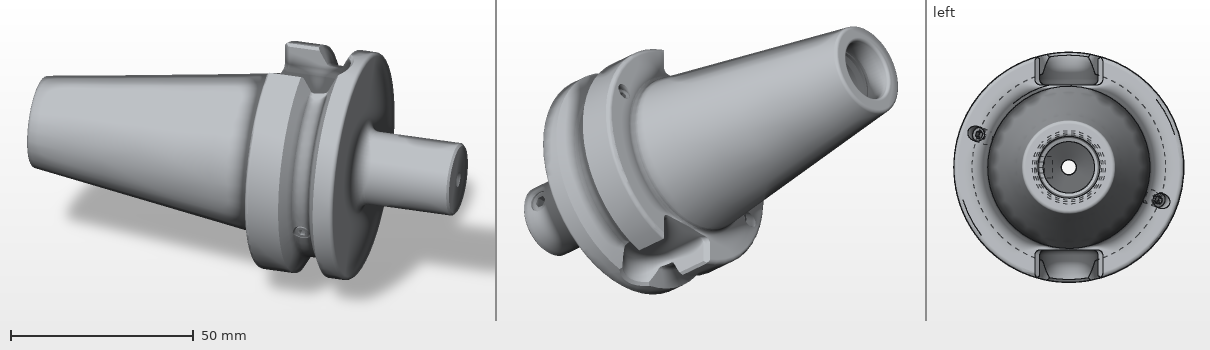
import cadquery as cq
import math

gauge_x = 65.4
gauge_radius = 22.2
taper_ratio = 7 / 24
shank_radius = gauge_radius - gauge_x * taper_ratio / 2
shank_end_round = 1.0

flange_x = 67.3
flange_end_x = 92.4
flange_radius = 31.5
shank_root_round = 1.0
flange_front_round = 1.2
flange_back_round = 1.0

groove_x = 82.0
groove_radius = 26.5
groove_floor_width = 4.0
groove_flank_angle = 30
groove_root_round = 1.0

keyway_half_width = 8.0
keyway_floor_z = 22.6
keyway_round_x = 80.5
keyway_root_round = 1.5
keyway_rim_chamfer = 0.8
keyway_mouth_bevel = 1.3

total_length = 119.4
nose_radius = 10.0
nose_root_round = 3.0
nose_chamfer = 0.6

counterbore_radius = 8.5
counterbore_depth = 9.1
counterbore_mouth_round = 0.8
countersink_angle = 120
relief_x = 7.0
relief_width = 1.1
relief_depth = 0.5
thread_bore_radius = 7.0
thread_bore_depth = 29.8
drill_point_angle = 118
coolant_radius = 2.0

screw_radius = 2.0
screw_length = 4.0
screw_socket_width = 2.0
screw_plane_angle = 20
face_screw_pitch_radius = 27.0
face_screw_tilt = 30
face_screw_recess = 1.7
groove_screw_turn = 180
groove_screw_countersink = 0.42

nose_screw_x = 113.3
nose_screw_radius = 3.0
nose_screw_length = 4.8
nose_screw_recess = 0.7
nose_screw_socket_width = 3.0

socket_depth_ratio = 0.9

half_turns = (0, 180)
overshoot = 1.2
tolerance = 0.01


def make_blank():
    """Shank, flange and nose as one turned solid, still without the gripper groove."""
    outline = (
        cq.Workplane("XY")
        .moveTo(0, 0)
        .lineTo(0, shank_radius)
        .lineTo(gauge_x, gauge_radius)
        .lineTo(flange_x - shank_root_round, gauge_radius)
        .radiusArc((flange_x, gauge_radius + shank_root_round), -shank_root_round)
        .lineTo(flange_x, flange_radius)
        .lineTo(flange_end_x - flange_back_round, flange_radius)
        .radiusArc((flange_end_x, flange_radius - flange_back_round), flange_back_round)
        .lineTo(flange_end_x, nose_radius + nose_root_round)
        .radiusArc((flange_end_x + nose_root_round, nose_radius), -nose_root_round)
        .lineTo(total_length - nose_chamfer, nose_radius)
        .lineTo(total_length, nose_radius - nose_chamfer)
        .lineTo(total_length, 0)
        .close()
    )
    blank = outline.revolve(360, (0, 0, 0), (1, 0, 0))
    return blank.faces("<X").edges().fillet(shank_end_round)


def make_keyway(turn):
    """Cutter for one drive keyway: flat floor, rounded end, open towards the shank."""
    open_x = flange_x - shank_root_round - overshoot
    height = flange_radius + overshoot - keyway_floor_z
    slot = (
        cq.Workplane("XY", origin=(0, 0, keyway_floor_z))
        .moveTo(open_x, -keyway_half_width)
        .lineTo(keyway_round_x, -keyway_half_width)
        .threePointArc(
            (keyway_round_x + keyway_half_width, 0),
            (keyway_round_x, keyway_half_width),
        )
        .lineTo(open_x, keyway_half_width)
        .close()
        .extrude(height)
    )
    slot = slot.faces("<Z").edges("not <X").fillet(keyway_root_round)
    return slot.rotate((0, 0, 0), (1, 0, 0), turn)


def keyway_rim_edges(body):
    """Edges where the keyway walls break out through the round rim of the flange."""
    def is_rim_edge(edge):
        middle = edge.positionAt(0.5)
        in_keyway = abs(middle.y) < keyway_half_width + tolerance
        along_flange = flange_x + tolerance < middle.x < flange_end_x - flange_back_round - tolerance
        on_rim = abs(math.hypot(middle.y, middle.z) - flange_radius) < tolerance
        return in_keyway and along_flange and on_rim

    return body.newObject([edge for edge in body.edges().vals() if is_rim_edge(edge)])


def make_keyway_mouth(turn):
    """Cutter that bevels the keyway walls where they meet the flange face."""
    def section(x, half_width):
        height = flange_radius + overshoot - keyway_floor_z
        return (
            cq.Sketch()
            .push([(0, keyway_floor_z + height / 2)])
            .rect(2 * half_width, height)
            .reset()
            .vertices("<Y")
            .fillet(keyway_root_round)
            .moved(cq.Location(cq.Plane.named("YZ", (x, 0, 0))))
        )

    mouth = cq.Workplane("XY").placeSketch(
        section(flange_x, keyway_half_width + keyway_mouth_bevel),
        section(flange_x + keyway_mouth_bevel, keyway_half_width),
    ).loft()
    return mouth.rotate((0, 0, 0), (1, 0, 0), turn)


def make_rim_round():
    """Ring cutter that rounds the rim of the flange face."""
    return (
        cq.Workplane("XY")
        .moveTo(flange_x, flange_radius - flange_front_round)
        .radiusArc((flange_x + flange_front_round, flange_radius), flange_front_round)
        .lineTo(flange_x + flange_front_round, flange_radius + overshoot)
        .lineTo(flange_x - overshoot, flange_radius + overshoot)
        .lineTo(flange_x - overshoot, flange_radius - flange_front_round)
        .close()
        .revolve(360, (0, 0, 0), (1, 0, 0))
    )


def make_groove():
    """Ring cutter for the gripper groove, with its floor corners rounded."""
    top = flange_radius + overshoot
    half_floor = groove_floor_width / 2
    half_top = half_floor + (top - groove_radius) * math.tan(math.radians(groove_flank_angle))
    ring = (
        cq.Workplane("XY")
        .polyline([
            (groove_x - half_floor, groove_radius),
            (groove_x + half_floor, groove_radius),
            (groove_x + half_top, top),
            (groove_x - half_top, top),
        ])
        .close()
        .revolve(360, (0, 0, 0), (1, 0, 0))
    )

    def is_floor_corner(edge):
        on_floor = abs(edge.BoundingBox().zmax - groove_radius) < tolerance
        return on_floor and edge.geomType() == "CIRCLE"

    corners = [edge for edge in ring.edges().vals() if is_floor_corner(edge)]
    return ring.newObject(corners).fillet(groove_root_round)


def make_axial_bore():
    """Cutter for the counterbore, the thread bore with its drill point and the coolant hole."""
    countersink_length = (counterbore_radius - thread_bore_radius) / math.tan(
        math.radians(countersink_angle / 2))
    point_length = (thread_bore_radius - coolant_radius) / math.tan(math.radians(drill_point_angle / 2))
    relief_radius = counterbore_radius + relief_depth
    return (
        cq.Workplane("XY")
        .moveTo(0, 0)
        .lineTo(0, counterbore_radius + counterbore_mouth_round)
        .radiusArc((counterbore_mouth_round, counterbore_radius), -counterbore_mouth_round)
        .lineTo(relief_x, counterbore_radius)
        .lineTo(relief_x, relief_radius)
        .lineTo(relief_x + relief_width, relief_radius)
        .lineTo(relief_x + relief_width, counterbore_radius)
        .lineTo(counterbore_depth, counterbore_radius)
        .lineTo(counterbore_depth + countersink_length, thread_bore_radius)
        .lineTo(thread_bore_depth, thread_bore_radius)
        .lineTo(thread_bore_depth + point_length, coolant_radius)
        .lineTo(total_length, coolant_radius)
        .lineTo(total_length, 0)
        .close()
        .revolve(360, (0, 0, 0), (1, 0, 0))
    )


def face_screw_plane(turn):
    """Plane at the mouth of a face screw hole, its normal pointing out of the hole."""
    angle = math.radians(screw_plane_angle + turn)
    tilt = math.radians(face_screw_tilt)
    radial = cq.Vector(0, math.cos(angle), math.sin(angle))
    mouth = cq.Vector(flange_x, 0, 0) + radial * face_screw_pitch_radius
    outwards = cq.Vector(-math.cos(tilt), 0, 0) + radial * math.sin(tilt)
    return cq.Plane(origin=mouth, xDir=outwards.cross(radial), normal=outwards)


def groove_screw_plane():
    """Plane touching the groove floor at the groove screw, its normal pointing outwards."""
    angle = math.radians(screw_plane_angle + groove_screw_turn)
    radial = cq.Vector(0, math.cos(angle), math.sin(angle))
    floor_point = cq.Vector(groove_x, 0, 0) + radial * groove_radius
    return cq.Plane(origin=floor_point, xDir=(1, 0, 0), normal=radial)


def nose_screw_plane():
    """Plane touching the +Y side of the nose at the nose screw, its normal pointing outwards."""
    return cq.Plane(origin=(nose_screw_x, nose_radius, 0), xDir=(1, 0, 0), normal=(0, 1, 0))


def make_screw_hole(plane, radius, depth):
    """Cutter for a round blind hole that starts beyond the plane and ends below it."""
    mouth_overshoot = 2 * overshoot
    return (
        cq.Workplane(plane)
        .workplane(offset=mouth_overshoot)
        .circle(radius)
        .extrude(-mouth_overshoot - depth)
    )


def make_groove_screw_countersink():
    """Cutter that widens the mouth of the groove screw hole by a 45-degree cone."""
    mouth_radius = screw_radius + groove_screw_countersink
    cone = (
        cq.Workplane(groove_screw_plane())
        .circle(mouth_radius)
        .workplane(offset=-groove_screw_countersink)
        .circle(screw_radius)
        .loft()
    )
    return cone.union(make_screw_hole(groove_screw_plane(), mouth_radius, 0))


def make_set_screw(plane, radius, length, recess, socket_width):
    """Set screw with a hexagon socket, its head the given distance below the plane."""
    head = cq.Workplane(plane).workplane(offset=-recess)
    across_corners = socket_width / math.cos(math.pi / 6)
    socket = head.polygon(6, across_corners).extrude(-socket_depth_ratio * socket_width)
    return head.circle(radius).extrude(-length).cut(socket)


def make_holder():
    """The tool holder: turned blank, keyways, groove, bore and the holes for the screws."""
    holder = make_blank()
    for turn in half_turns:
        holder = holder.cut(make_keyway(turn))
    holder = keyway_rim_edges(holder).chamfer(keyway_rim_chamfer)
    for turn in half_turns:
        holder = holder.cut(make_keyway_mouth(turn))
    holder = holder.cut(make_rim_round())
    holder = holder.cut(make_groove())
    holder = holder.cut(make_axial_bore())

    for turn in half_turns:
        hole_depth = face_screw_recess + screw_length
        holder = holder.cut(make_screw_hole(face_screw_plane(turn), screw_radius, hole_depth))
    holder = holder.cut(make_screw_hole(groove_screw_plane(), screw_radius, screw_length))
    holder = holder.cut(make_groove_screw_countersink())
    nose_hole_depth = nose_screw_recess + nose_screw_length
    return holder.cut(make_screw_hole(nose_screw_plane(), nose_screw_radius, nose_hole_depth))


holder = make_holder()
face_screws = [
    make_set_screw(face_screw_plane(turn), screw_radius, screw_length, face_screw_recess, screw_socket_width)
    for turn in half_turns
]
groove_screw = make_set_screw(groove_screw_plane(), screw_radius, screw_length, 0, screw_socket_width)
nose_screw = make_set_screw(
    nose_screw_plane(), nose_screw_radius, nose_screw_length, nose_screw_recess, nose_screw_socket_width)

result = cq.Compound.makeCompound([
    holder.val(),
    *[screw.val() for screw in face_screws],
    groove_screw.val(),
    nose_screw.val(),
])